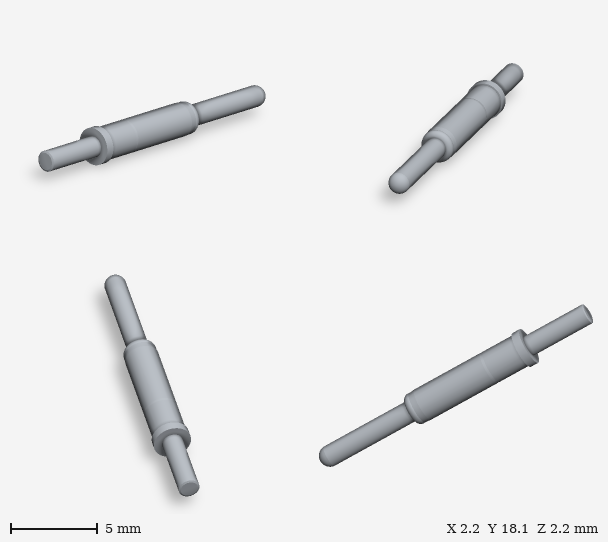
import cadquery as cq
import math

total_length = 18.1

tail_radius = 0.62
tail_length = 4.0
tail_chamfer_length = 0.05
tail_chamfer_depth = 0.1

flange_radius = 1.1
flange_thickness = 0.5

barrel_radius = 1.0

groove_radius = 0.98
groove_start = 6.55
groove_end = 6.72

crimp_radius = 0.96
crimp_taper_start = 11.19
crimp_taper_end = 11.57
crimp_round_length = 0.43

plunger_radius = 0.63
plunger_tip_height = 0.58

flange_end = tail_length + flange_thickness
barrel_end = crimp_taper_end + crimp_round_length
plunger_tip_start = total_length - plunger_tip_height

tip_sphere_radius = (plunger_radius**2 + plunger_tip_height**2) / (2 * plunger_tip_height)
tip_center = total_length - tip_sphere_radius
tip_half_angle = math.asin(plunger_radius / tip_sphere_radius) / 2
tip_arc_middle = (
    tip_sphere_radius * math.sin(tip_half_angle),
    tip_center + tip_sphere_radius * math.cos(tip_half_angle),
)

crimp_depth = crimp_radius - plunger_radius
crimp_arc_radius = (crimp_depth**2 + crimp_round_length**2) / (2 * crimp_round_length)
crimp_arc_center = barrel_end - crimp_arc_radius
crimp_arc_middle = (
    plunger_radius + crimp_arc_radius * math.sin(math.pi / 4),
    crimp_arc_center + crimp_arc_radius * math.cos(math.pi / 4),
)
crimp_arc_end = (plunger_radius, barrel_end)

profile = (
    cq.Workplane("XY")
    .moveTo(0, 0)
    .lineTo(tail_radius - tail_chamfer_depth, 0)
    .lineTo(tail_radius, tail_chamfer_length)
    .lineTo(tail_radius, tail_length)
    .lineTo(flange_radius, tail_length)
    .lineTo(flange_radius, flange_end)
    .lineTo(barrel_radius, flange_end)
    .lineTo(barrel_radius, groove_start)
    .lineTo(groove_radius, groove_start)
    .lineTo(barrel_radius, groove_end)
    .lineTo(barrel_radius, crimp_taper_start)
    .lineTo(crimp_radius, crimp_taper_end)
    .threePointArc(crimp_arc_middle, crimp_arc_end)
    .lineTo(plunger_radius, plunger_tip_start)
    .threePointArc(tip_arc_middle, (0, total_length))
    .close()
)

result = profile.revolve(360, (0, 0, 0), (0, 1, 0))